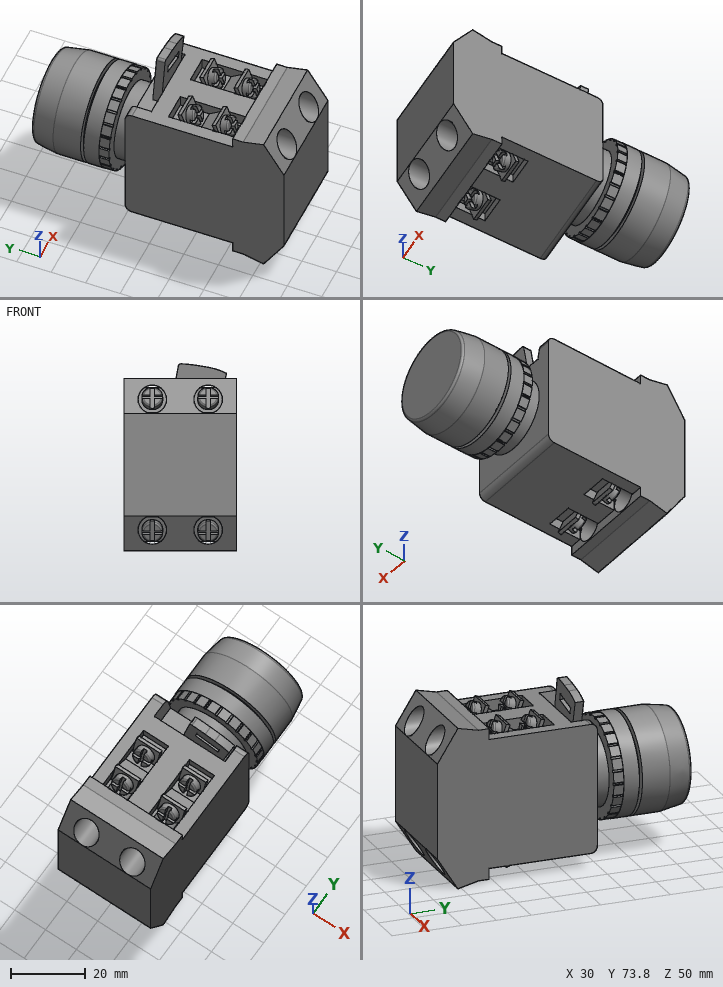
import cadquery as cq
import math

total_length = 73.8

body_width = 30.0
body_half_height = 18.5
body_back = 46.05
body_corner_radius = 2.0
head_half_height = 21.6
head_back = 14.9
head_slope_start = 11.8
apex_half_height = 23.0
apex_y = 5.9
nose_half_height = 13.65

neck_radius = 11.0
button_radius = 14.55
groove_radius = 12.55
tip_radius = 13.5
tip_round = 0.7
taper_mid_radius = 14.1
taper_start = 67.15
groove_back = 59.2
groove_front = 58.3
knurl_back = 53.9
knurl_front = 51.0
knurl_count = 25
knurl_floor_radius = 13.95
tooth_flat_radius = 14.4
tooth_width = 2.95
tooth_root = 1.1

notch_half_width = 11.45
notch_wall_lean = 1.0
notch_floor = 13.6
notch_front = 39.9
lever_front = 40.7
lever_thickness = 2.5
lever_left_foot = (-2.95, notch_floor)
lever_left_top = (-0.5, 26.4)
lever_corner_mid = (-0.2, 26.8)
lever_crest = (0.3, 26.95)
lever_flat_start = (4.6, 26.5)
lever_flat_end = (7.7, 26.0)
lever_drop_mid = (10.2, 25.3)
lever_right_top = (12.4, 24.35)
lever_right_foot = (9.75, notch_floor)
window_length = 7.45
window_height = 1.85
window_x = 5.25
window_z = 21.4
window_tilt = -10.5

terminal_x = 7.45
terminal_tilt = 20.0
pocket_width = 8.05
pocket_floor = 15.35
foot_y = 19.5
terminal_pitch = 9.95
double_pocket_back = 35.0
single_pocket_back = double_pocket_back - terminal_pitch
ramp_back = 26.6
ramp_front = 22.3
ramp_rise = 2.9
plate_width = 7.6
plate_height = 5.5
plate_thickness = 1.1
plate_root = 1.5
screw_height = 2.1
screw_radius = 2.8
screw_length = 2.4
screw_rim = 0.45
cross_slot_width = 1.0
upright_slot_width = 1.1
screw_slot_depth = 1.3
driver_hole_radius = 3.8
driver_hole_z = 17.4


def contact_block():
    """Block extruded across X from its side outline."""
    lower = -body_half_height
    block = (
        cq.Workplane("YZ")
        .moveTo(0, nose_half_height)
        .lineTo(apex_y, apex_half_height)
        .lineTo(head_slope_start, head_half_height)
        .lineTo(head_back, head_half_height)
        .lineTo(head_back, body_half_height)
        .lineTo(body_back, body_half_height)
        .lineTo(body_back, lower)
        .lineTo(head_back, lower)
        .lineTo(head_back, -head_half_height)
        .lineTo(head_slope_start, -head_half_height)
        .lineTo(apex_y, -apex_half_height)
        .lineTo(0, -nose_half_height)
        .close()
        .extrude(body_width / 2, both=True)
    )
    return block.edges("|X and >Y").fillet(body_corner_radius)


def push_button():
    """Button, grooved collar and neck turned about the Y axis, with flat teeth around the rim."""
    taper_end = total_length - tip_round
    taper_mid = (taper_start + taper_end) / 2
    round_offset = tip_round * (1 - math.sqrt(0.5))
    turned = (
        cq.Workplane("XY")
        .moveTo(0, notch_front)
        .lineTo(neck_radius, notch_front)
        .lineTo(neck_radius, knurl_front)
        .lineTo(knurl_floor_radius, knurl_front)
        .lineTo(knurl_floor_radius, knurl_back)
        .lineTo(button_radius, knurl_back)
        .lineTo(button_radius, groove_front)
        .lineTo(groove_radius, groove_front)
        .lineTo(groove_radius, groove_back)
        .lineTo(button_radius, groove_back)
        .lineTo(button_radius, taper_start)
        .threePointArc((taper_mid_radius, taper_mid), (tip_radius, taper_end))
        .threePointArc(
            (tip_radius - round_offset, total_length - round_offset),
            (tip_radius - tip_round, total_length),
        )
        .lineTo(0, total_length)
        .close()
        .revolve(360, (0, 0, 0), (0, 1, 0))
    )
    tooth_depth = tooth_flat_radius - knurl_floor_radius + tooth_root
    tooth = (
        cq.Workplane("XY")
        .box(tooth_depth, knurl_back - knurl_front, tooth_width)
        .translate((tooth_depth / 2 - tooth_flat_radius, (knurl_back + knurl_front) / 2, 0))
    )
    for index in range(knurl_count):
        turned = turned.union(tooth.rotate((0, 0, 0), (0, 1, 0), index * 360 / knurl_count))
    return turned


def lever_notch():
    """Trapezoidal notch in the top of the block, open to the back."""
    floor_half_width = notch_half_width - notch_wall_lean
    return (
        cq.Workplane("XZ", origin=(0, notch_front, 0))
        .moveTo(-floor_half_width, notch_floor)
        .lineTo(floor_half_width, notch_floor)
        .lineTo(notch_half_width, body_half_height)
        .lineTo(-notch_half_width, body_half_height)
        .close()
        .extrude(-(body_back - notch_front))
    )


def lever():
    """Leaning lever with a curved top edge and a slanted window."""
    blade = (
        cq.Workplane("XZ", origin=(0, lever_front, 0))
        .moveTo(*lever_left_foot)
        .lineTo(*lever_left_top)
        .threePointArc(lever_corner_mid, lever_crest)
        .tangentArcPoint(lever_flat_start, relative=False)
        .lineTo(*lever_flat_end)
        .threePointArc(lever_drop_mid, lever_right_top)
        .lineTo(*lever_right_foot)
        .close()
        .extrude(-lever_thickness)
    )
    window = (
        cq.Workplane("XZ", origin=(window_x, lever_front, window_z))
        .transformed(rotate=(0, 0, window_tilt))
        .rect(window_length, window_height)
        .extrude(-lever_thickness)
    )
    return blade.cut(window)


def terminal_pocket(x, back_y):
    """Straight pocket that stops below the step of the block head."""
    depth = body_half_height - pocket_floor
    return (
        cq.Workplane("XY", origin=(x, 0, pocket_floor))
        .moveTo(0, (head_back + back_y) / 2)
        .rect(pocket_width, back_y - head_back)
        .extrude(depth)
    )


def pocket_ramp(x):
    """Wedge on the pocket floor that rises from the rear terminal to the front one."""
    return (
        cq.Workplane("YZ", origin=(x - pocket_width / 2, 0, 0))
        .moveTo(ramp_back, pocket_floor)
        .lineTo(ramp_front, pocket_floor + ramp_rise)
        .lineTo(ramp_front - plate_thickness, pocket_floor + ramp_rise)
        .lineTo(foot_y, pocket_floor)
        .close()
        .extrude(pocket_width)
    )


def terminal(x, y):
    """Tilted clamp plate with a cross-slotted screw head on its front face."""
    tilt = math.radians(terminal_tilt)
    screw_axis = (0, -math.cos(tilt), math.sin(tilt))
    face = cq.Workplane(cq.Plane((x, y, pocket_floor), (1, 0, 0), screw_axis))
    plate = (
        face.center(0, (plate_height - plate_root) / 2)
        .rect(plate_width, plate_height + plate_root)
        .extrude(-plate_thickness)
    )
    screw_base = face.center(0, screw_height)
    screw = (
        screw_base.circle(screw_radius)
        .extrude(screw_length)
        .faces(cq.selectors.DirectionMinMaxSelector(cq.Vector(*screw_axis)))
        .edges()
        .fillet(screw_rim)
    )
    slot_base = screw_base.workplane(offset=screw_length - screw_slot_depth)
    across = slot_base.rect(2 * screw_radius, cross_slot_width).extrude(screw_slot_depth)
    upright = slot_base.rect(upright_slot_width, 2 * screw_radius).extrude(screw_slot_depth)
    return plate.union(screw.cut(across).cut(upright))


def driver_hole(x):
    """Screwdriver channel from the nose to the foot of the front clamp plate."""
    return (
        cq.Workplane("XZ", origin=(x, 0, driver_hole_z))
        .circle(driver_hole_radius)
        .extrude(-foot_y)
    )


def upside_down(shape):
    """Copy of a shape on the lower side of the block."""
    return shape.mirror("XY")


result = contact_block().cut(lever_notch())

for x in (-terminal_x, terminal_x):
    result = result.cut(terminal_pocket(x, double_pocket_back)).union(pocket_ramp(x))
    result = result.cut(driver_hole(x))
    result = result.union(terminal(x, foot_y)).union(terminal(x, foot_y + terminal_pitch))
    result = result.cut(upside_down(terminal_pocket(x, single_pocket_back)))
    result = result.cut(upside_down(driver_hole(x)))
    result = result.union(upside_down(terminal(x, foot_y)))

result = result.union(push_button()).union(lever())